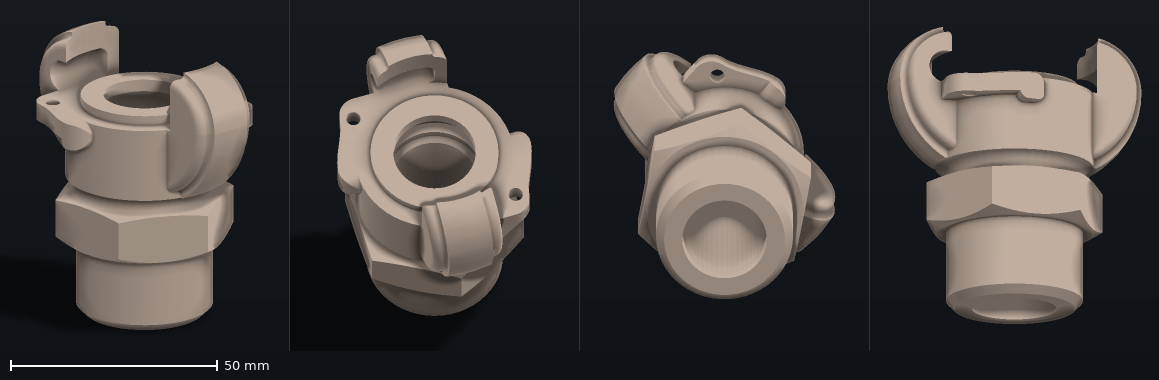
import cadquery as cq
import math


TIP_TOP = 67.85
SEAL_TOP = 55.65
COLLAR_TOP = 53.2
GROOVE_RADIUS = 2.1
HEX_TOP = 30.95
HEX_BOTTOM = 18.85
COLLAR_BOTTOM = HEX_TOP + 2 * GROOVE_RADIUS

STUB_DIAMETER = 33.25
STUB_CHAMFER = 2.0
HEX_ACROSS_FLATS = 38.55
HEX_CORNER_RADIUS = HEX_ACROSS_FLATS / math.sqrt(3)
HEX_BEVEL_START = 19.0
HEX_TOP_BEVEL_ANGLE = 15
HEX_BOTTOM_BEVEL_ANGLE = 30
COLLAR_RADIUS = HEX_ACROSS_FLATS / 2
SEAL_DIAMETER = 31.0

SEAL_BORE_RADIUS = 20.0 / 2
SEAL_BORE_DEPTH = 3.0
CHAMBER_RADIUS = 28.0 / 2
CHAMBER_FLOOR = 44.25
STEP_RADIUS = 23.0 / 2
STEP_DEPTH = 2.05
BORE_RADIUS = 20.5 / 2

CLAW_REACH = 30.95
CLAW_EQUATOR = 54.7
CROWN_HALF_WIDTH = 5.55
CROWN_LOWER_RADIUS = 22.8
CLAW_HALF_WIDTH = 8.9
SHOULDER_REACH = 28.8
SHOULDER_UPPER_RADIUS = 11.8
SHOULDER_LOWER_RADIUS = 20.1
SHOULDER_ROUND = 1.9
CROWN_FILLET = 1.15
CLAW_OPENING_RADIUS = 20.35
CLAW_ROOT = 16.3
POCKET_RADIUS = 3.95
POCKET_X = 20.0
POCKET_END = 6.1
POCKET_END_ROUND = 2.2

LUG_THICKNESS = 4.5
LUG_SIDE = 21.0
LUG_CORNER_RADIUS = 4.75
LUG_CORNER_Y = 14.2
LUG_TANGENT_ANGLE = 8
LUG_INFLECTION = (-9.8, -21.3)
NOSE_CENTER_X = -2.65
NOSE_RADIUS = 4.55
LUG_REACH = 47.0 / 2
NOSE_DEPTH = 6.5
NOSE_LENGTH = 6.9
NOSE_FRONT_ROUND = 3.05
NOSE_REAR_ROUND = 2.2
LUG_HOLE_DIAMETER = 3.5
LUG_HOLE_OFFSET = 15.75


def cylinder(radius, bottom, top):
    return cq.Workplane("XY").workplane(offset=bottom).circle(radius).extrude(top - bottom)


def opposite_pair(feature):
    """The feature together with its copy half a turn around the axis."""
    return feature.union(feature.rotate((0, 0, 0), (0, 0, 1), 180))


def make_hex():
    height = HEX_TOP - HEX_BOTTOM
    bevel_width = HEX_CORNER_RADIUS - HEX_BEVEL_START
    top_drop = bevel_width * math.tan(math.radians(HEX_TOP_BEVEL_ANGLE))
    bottom_rise = bevel_width * math.tan(math.radians(HEX_BOTTOM_BEVEL_ANGLE))
    prism = (
        cq.Workplane("XY").workplane(offset=HEX_BOTTOM)
        .polygon(6, 2 * HEX_CORNER_RADIUS).extrude(height)
    )
    envelope = (
        cq.Workplane("XZ")
        .moveTo(0, HEX_BOTTOM)
        .lineTo(HEX_BEVEL_START, HEX_BOTTOM)
        .lineTo(HEX_CORNER_RADIUS, HEX_BOTTOM + bottom_rise)
        .lineTo(HEX_CORNER_RADIUS, HEX_TOP - top_drop)
        .lineTo(HEX_BEVEL_START, HEX_TOP)
        .lineTo(0, HEX_TOP)
        .close()
        .revolve(360, (0, 0), (0, 1))
    )
    return prism.intersect(envelope)


def make_body():
    stub = cylinder(STUB_DIAMETER / 2, 0, HEX_BOTTOM).faces("<Z").chamfer(STUB_CHAMFER)
    collar = (
        cq.Workplane("XZ")
        .moveTo(0, HEX_TOP)
        .lineTo(HEX_BEVEL_START, HEX_TOP)
        .threePointArc(
            (COLLAR_RADIUS - GROOVE_RADIUS, HEX_TOP + GROOVE_RADIUS),
            (COLLAR_RADIUS, COLLAR_BOTTOM),
        )
        .lineTo(COLLAR_RADIUS, COLLAR_TOP)
        .lineTo(0, COLLAR_TOP)
        .close()
        .revolve(360, (0, 0), (0, 1))
    )
    seal = cylinder(SEAL_DIAMETER / 2, COLLAR_TOP, SEAL_TOP)
    return stub.union(make_hex()).union(collar).union(seal)


def make_bore():
    seal_bore_end = SEAL_TOP - SEAL_BORE_DEPTH
    step_floor = CHAMBER_FLOOR - STEP_DEPTH
    funnel_end = step_floor - (STEP_RADIUS - BORE_RADIUS)

    dome_height = seal_bore_end - CHAMBER_FLOOR
    dome_inset = CHAMBER_RADIUS - SEAL_BORE_RADIUS
    dome_radius = (dome_height**2 + dome_inset**2) / (2 * dome_inset)
    half_sweep = math.asin(dome_height / dome_radius) / 2
    dome_middle_x = CHAMBER_RADIUS - dome_radius * (1 - math.cos(half_sweep))
    dome_middle_z = CHAMBER_FLOOR + dome_radius * math.sin(half_sweep)
    return (
        cq.Workplane("XZ")
        .lineTo(BORE_RADIUS, 0)
        .lineTo(BORE_RADIUS, funnel_end)
        .lineTo(STEP_RADIUS, step_floor)
        .lineTo(STEP_RADIUS, CHAMBER_FLOOR)
        .lineTo(CHAMBER_RADIUS, CHAMBER_FLOOR)
        .threePointArc((dome_middle_x, dome_middle_z), (SEAL_BORE_RADIUS, seal_bore_end))
        .lineTo(SEAL_BORE_RADIUS, SEAL_TOP)
        .lineTo(0, SEAL_TOP)
        .close()
        .revolve(360, (0, 0), (0, 1))
    )


def claw_profile(reach, upper_radius, lower_radius):
    """Two arcs meeting upright at the equator, closed by a straight root inside the collar."""
    middle_x = (CLAW_ROOT + reach) / 2

    def height_at(x, radius):
        return math.sqrt(radius**2 - (x - reach + radius) ** 2)

    return (
        cq.Workplane("XZ", origin=(0, 0, CLAW_EQUATOR))
        .moveTo(CLAW_ROOT, height_at(CLAW_ROOT, upper_radius))
        .threePointArc((middle_x, height_at(middle_x, upper_radius)), (reach, 0))
        .threePointArc(
            (middle_x, -height_at(middle_x, lower_radius)),
            (CLAW_ROOT, -height_at(CLAW_ROOT, lower_radius)),
        )
        .close()
    )


def make_pocket():
    """Round channel across the claw, open towards its inner face and its +Y side."""
    return (
        cq.Workplane("XZ", origin=(POCKET_X, CLAW_HALF_WIDTH, COLLAR_TOP + POCKET_RADIUS))
        .moveTo(0, -POCKET_RADIUS)
        .threePointArc((POCKET_RADIUS, 0), (0, POCKET_RADIUS))
        .lineTo(CLAW_ROOT - POCKET_X, POCKET_RADIUS)
        .lineTo(CLAW_ROOT - POCKET_X, -POCKET_RADIUS)
        .close()
        .extrude(CLAW_HALF_WIDTH + POCKET_END)
        .faces("<Y").edges("not <X").fillet(POCKET_END_ROUND)
    )


def make_claw():
    """Claw on the +X side: a turned crown between two rounded shoulders, with an open pocket."""
    tip_height = TIP_TOP - CLAW_EQUATOR
    tip_depth = CLAW_REACH - CLAW_OPENING_RADIUS
    crown_upper_radius = (tip_depth**2 + tip_height**2) / (2 * tip_depth)
    crown_slab = (
        cq.Workplane("XY")
        .box(CLAW_REACH, 2 * CROWN_HALF_WIDTH, 2 * TIP_TOP)
        .translate((CLAW_ROOT + CLAW_REACH / 2, 0, 0))
    )
    crown = (
        claw_profile(CLAW_REACH, crown_upper_radius, CROWN_LOWER_RADIUS)
        .revolve(360, (0, 0), (0, 1))
        .intersect(crown_slab)
    )
    shoulders = (
        claw_profile(SHOULDER_REACH, SHOULDER_UPPER_RADIUS, SHOULDER_LOWER_RADIUS)
        .extrude(CLAW_HALF_WIDTH, both=True)
        .faces("<Y or >Y").edges("%CIRCLE").fillet(SHOULDER_ROUND)
    )
    claw = crown.union(shoulders)
    tolerance = 0.1
    for side in (-1, 1):
        crown_wall = side * CROWN_HALF_WIDTH
        near_wall = cq.selectors.BoxSelector(
            (0, crown_wall - tolerance, 0), (CLAW_REACH, crown_wall + tolerance, TIP_TOP)
        )
        claw = claw.edges(near_wall).edges("%CIRCLE").fillet(CROWN_FILLET)

    below_collar = cylinder(2 * CLAW_REACH, 0, COLLAR_BOTTOM)
    opening = cylinder(CLAW_OPENING_RADIUS, COLLAR_TOP, 2 * TIP_TOP)
    return claw.cut(below_collar).cut(opening).cut(make_pocket())


def make_lug():
    """Lug on the -Y side: a wavy plate ending in a deeper rounded nose."""
    bottom = COLLAR_TOP - LUG_THICKNESS
    tangent_angle = math.radians(LUG_TANGENT_ANGLE)
    sine, cosine = math.sin(tangent_angle), math.cos(tangent_angle)
    corner_x = LUG_CORNER_RADIUS - LUG_SIDE
    nose_y = NOSE_RADIUS - LUG_REACH
    nose_tip = NOSE_CENTER_X + NOSE_RADIUS
    nose_turn = math.radians(45 + LUG_TANGENT_ANGLE / 2)
    corner_turn = math.radians(45 - LUG_TANGENT_ANGLE / 2)

    corner_middle = (
        corner_x - LUG_CORNER_RADIUS * math.cos(corner_turn),
        -LUG_CORNER_Y - LUG_CORNER_RADIUS * math.sin(corner_turn),
    )
    corner_end = (corner_x - LUG_CORNER_RADIUS * sine, -LUG_CORNER_Y - LUG_CORNER_RADIUS * cosine)
    nose_start = (NOSE_CENTER_X - NOSE_RADIUS * sine, nose_y - NOSE_RADIUS * cosine)
    nose_middle = (
        NOSE_CENTER_X + NOSE_RADIUS * math.cos(nose_turn),
        nose_y - NOSE_RADIUS * math.sin(nose_turn),
    )
    wave_direction = (cosine, -sine)

    outline = (
        cq.Workplane("XY").workplane(offset=COLLAR_TOP - NOSE_DEPTH)
        .moveTo(-LUG_CORNER_Y, -CLAW_HALF_WIDTH)
        .lineTo(-LUG_SIDE, -CLAW_HALF_WIDTH)
        .lineTo(-LUG_SIDE, -LUG_CORNER_Y)
        .threePointArc(corner_middle, corner_end)
        .spline([LUG_INFLECTION, nose_start], tangents=[wave_direction, wave_direction],
                includeCurrent=True)
        .threePointArc(nose_middle, (nose_tip, nose_y))
        .lineTo(nose_tip, -LUG_CORNER_Y)
        .close()
        .extrude(NOSE_DEPTH)
    )
    nose_section = (
        cq.Workplane("XY")
        .box(NOSE_LENGTH, 2 * LUG_REACH, NOSE_DEPTH, centered=False)
        .translate((nose_tip - NOSE_LENGTH, -2 * LUG_REACH, COLLAR_TOP - NOSE_DEPTH))
        .edges("|Y and >X").fillet(NOSE_FRONT_ROUND)
        .edges("|Y and <X and <Z").fillet(NOSE_REAR_ROUND)
    )
    plate_section = (
        cq.Workplane("XY")
        .box(LUG_SIDE, 2 * LUG_REACH, LUG_THICKNESS, centered=False)
        .translate((nose_tip - NOSE_FRONT_ROUND - LUG_SIDE, -2 * LUG_REACH, bottom))
    )
    return outline.intersect(nose_section.union(plate_section))


def make_lug_holes():
    hole = cylinder(LUG_HOLE_DIAMETER / 2, COLLAR_TOP - LUG_THICKNESS, COLLAR_TOP)
    return opposite_pair(hole.translate((-LUG_HOLE_OFFSET, -LUG_HOLE_OFFSET, 0)))


result = (
    make_body()
    .union(opposite_pair(make_claw()))
    .union(opposite_pair(make_lug()))
    .cut(make_bore())
    .cut(make_lug_holes())
)